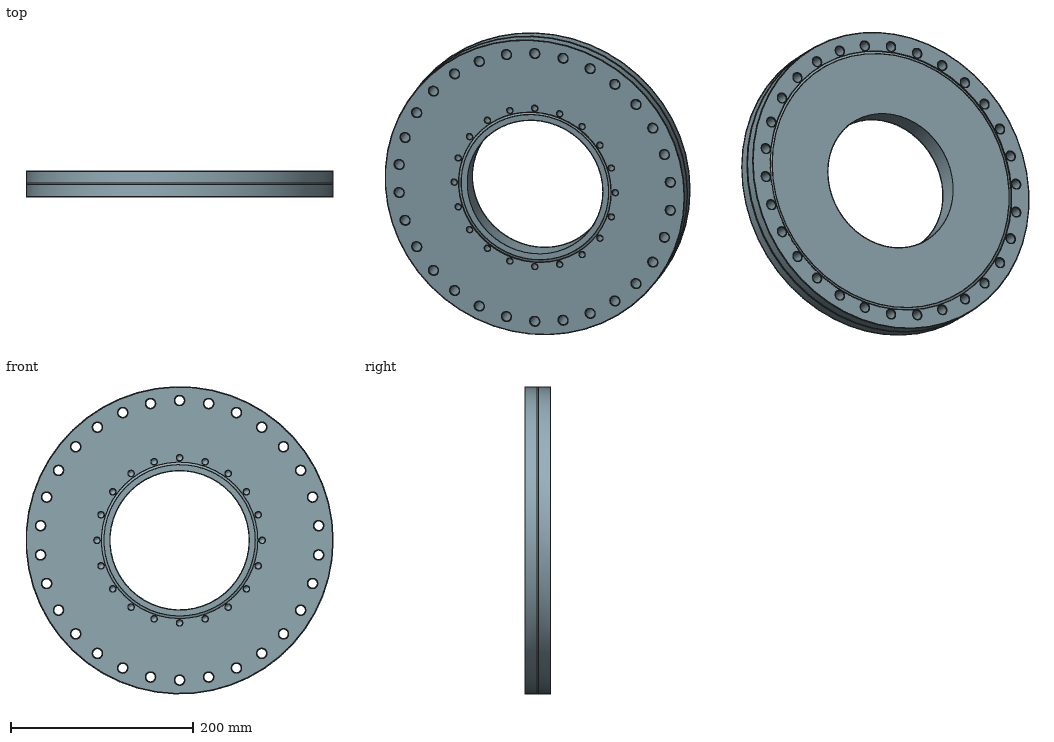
import cadquery as cq
import math

outer_diameter = 336.6
thickness = 28.4
bore_diameter = 152.4
rim_chamfer = 0.5

groove_width = 1.7
groove_depth = 0.1

front_recess_diameter = 171.4
back_recess_diameter = 294.04
knife_slope_width = 2.8
knife_tip_depth = 0.7
recess_wall_depth = 1.7
seal_floor_depth = 1.2

bolt_count = 30
bolt_hole_diameter = 10.45
bolt_circle_diameter = 306.3

tapped_count = 20
tapped_hole_diameter = 6.65
tapped_circle_diameter = 181.0
tapped_hole_depth = 16.0
drill_point_angle = 118.0

bolt_mouth_chamfer = 0.5
tapped_mouth_chamfer = 0.25

front_y = -thickness / 2
back_y = thickness / 2


def revolve_about_y(points):
    """Revolve a closed (radius, y) outline about the Y axis."""
    return cq.Workplane("XY").polyline(points).close().revolve(360, (0, 0, 0), (0, 1, 0))


def seal_outline(recess_diameter, face_y, inward):
    """Outline of a knife-edge seal from the bore out to the face; inward is the Y sense into the metal."""
    recess_radius = recess_diameter / 2
    knife_radius = recess_radius - knife_slope_width
    floor_y = face_y + inward * seal_floor_depth
    return [
        (bore_diameter / 2, floor_y),
        (knife_radius, floor_y),
        (knife_radius, face_y + inward * knife_tip_depth),
        (recess_radius, face_y + inward * recess_wall_depth),
        (recess_radius, face_y),
    ]


def make_disc():
    """Ring with chamfered rim, rim groove and a knife-edge seal in each face."""
    outer_radius = outer_diameter / 2
    groove_radius = outer_radius - groove_depth
    rim = [
        (outer_radius - rim_chamfer, front_y),
        (outer_radius, front_y + rim_chamfer),
        (outer_radius, -groove_width / 2),
        (groove_radius, -groove_width / 2),
        (groove_radius, groove_width / 2),
        (outer_radius, groove_width / 2),
        (outer_radius, back_y - rim_chamfer),
        (outer_radius - rim_chamfer, back_y),
    ]
    front_seal = seal_outline(front_recess_diameter, front_y, 1)
    back_seal = seal_outline(back_recess_diameter, back_y, -1)
    return revolve_about_y(front_seal + rim + back_seal[::-1])


def bolt_hole_tool():
    """Through hole along the Y axis, chamfered at both mouths."""
    radius = bolt_hole_diameter / 2
    return revolve_about_y([
        (0, front_y),
        (radius + bolt_mouth_chamfer, front_y),
        (radius, front_y + bolt_mouth_chamfer),
        (radius, back_y - bolt_mouth_chamfer),
        (radius + bolt_mouth_chamfer, back_y),
        (0, back_y),
    ])


def tapped_hole_tool():
    """Blind hole along the Y axis with a drill point and a chamfered mouth."""
    radius = tapped_hole_diameter / 2
    point_length = radius / math.tan(math.radians(drill_point_angle / 2))
    floor_y = front_y + tapped_hole_depth
    return revolve_about_y([
        (0, front_y),
        (radius + tapped_mouth_chamfer, front_y),
        (radius, front_y + tapped_mouth_chamfer),
        (radius, floor_y),
        (0, floor_y + point_length),
    ])


def cut_on_circle(body, tool, count, circle_diameter):
    """Cut evenly spaced copies of a Y-axis tool around a circle, the first one at +Z."""
    raised_tool = tool.translate((0, 0, circle_diameter / 2))
    for index in range(count):
        angle = index * 360 / count
        body = body.cut(raised_tool.rotate((0, 0, 0), (0, 1, 0), angle))
    return body


disc = make_disc()
bolted = cut_on_circle(disc, bolt_hole_tool(), bolt_count, bolt_circle_diameter)
result = cut_on_circle(bolted, tapped_hole_tool(), tapped_count, tapped_circle_diameter)